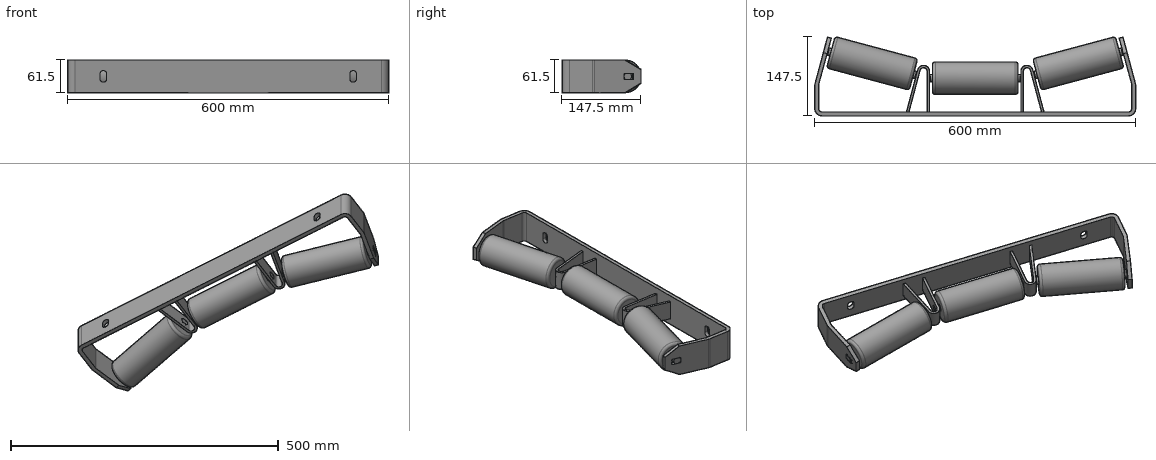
import cadquery as cq
import math

frame_length = 600.0
frame_height = 61.0
frame_depth = 147.5
strip_thickness = 8.0
frame_bend_radius = 14.0
arm_bend_y = 59.0
arm_angle = 15.0
tip_width = 26.5
tip_taper_angle = 30.0

mount_slot_x = 233.5
mount_slot_width = 12.5
mount_slot_height = 21.5

roller_diameter = 61.0
roller_length = 160.0
roller_fillet = 5.5
middle_roller_y = 71.0
middle_roller_drop = 0.5
outer_roller_x = 192.5
outer_roller_y = 98.5

shaft_diameter = 14.5
shoulder_clearance = 1.0
tongue_thickness = 11.5
arm_slot_length = 18.5
arm_slot_corner_radius = 2.0

bracket_thickness = 5.0
bracket_height = 36.0
bracket_face_x = 85.0
bracket_top_radius = 11.5
bracket_top_y = 95.0

tilt = math.radians(arm_angle)
sin_tilt = math.sin(tilt)
cos_tilt = math.cos(tilt)
half_length = frame_length / 2
half_height = frame_height / 2

arm_length = (frame_depth - arm_bend_y) / cos_tilt
tip_taper_length = (frame_height - tip_width) / 2 / math.tan(math.radians(tip_taper_angle))

bracket_arc_x = bracket_face_x + bracket_top_radius
bracket_arc_y = bracket_top_y - bracket_top_radius


def along_left_axis(x, y):
    """Distance of a point from the left roller's middle, measured along its axis."""
    return (x + outer_roller_x) * cos_tilt - (y - outer_roller_y) * sin_tilt


arm_far_face = -along_left_axis(-half_length, arm_bend_y)
arm_plate = (arm_far_face - strip_thickness, arm_far_face)
tilted_leg_face = along_left_axis(-bracket_arc_x, bracket_arc_y) - bracket_top_radius
tilted_leg_plate = (tilted_leg_face, tilted_leg_face + bracket_thickness)
straight_leg_plate = (bracket_face_x, bracket_face_x + bracket_thickness)


def mirrored(body):
    """Copy of a body on the other side of X = 0."""
    return body.mirror("YZ")


def place_left(body):
    """Move a body built along X at the origin onto the left roller's axis."""
    turned = body.rotate((0, 0, 0), (0, 0, 1), -arm_angle)
    return turned.translate((-outer_roller_x, outer_roller_y, 0))


def shaft_end(near_face, far_face):
    """Round journal next to the roller, then a flatted tongue through the plate."""
    roller_end = roller_length / 2
    shoulder = near_face - shoulder_clearance
    journal = (
        cq.Workplane("YZ", origin=(roller_end, 0, 0))
        .circle(shaft_diameter / 2).extrude(shoulder - roller_end)
    )
    tongue_length = far_face - shoulder
    tongue_round = (
        cq.Workplane("YZ", origin=(shoulder, 0, 0)).circle(shaft_diameter / 2).extrude(tongue_length)
    )
    flats = (
        cq.Workplane("YZ", origin=(shoulder, 0, 0))
        .rect(2 * shaft_diameter, tongue_thickness).extrude(tongue_length)
    )
    return journal.union(tongue_round.intersect(flats))


def make_roller(left_plate, right_plate):
    """Roller along X, its shaft ends reaching through the plates on both sides."""
    drum = (
        cq.Workplane("YZ", origin=(-roller_length / 2, 0, 0))
        .circle(roller_diameter / 2).extrude(roller_length)
        .edges().fillet(roller_fillet)
    )
    return drum.union(shaft_end(*right_plate)).union(mirrored(shaft_end(*left_plate)))


middle_roller = make_roller(straight_leg_plate, straight_leg_plate).translate(
    (0, middle_roller_y, -middle_roller_drop))
left_roller = place_left(make_roller(arm_plate, tilted_leg_plate))
outer_rollers = [left_roller, mirrored(left_roller)]


def frame_line(inset):
    """Corner points from the left arm tip to the right one, moved inwards by the inset."""
    wall_x = -half_length + inset
    bend_y = arm_bend_y + inset * math.tan(tilt / 2)
    tip_x = -half_length + arm_length * sin_tilt + inset * cos_tilt
    tip_y = frame_depth - inset * sin_tilt
    left = [(tip_x, tip_y), (wall_x, bend_y), (wall_x, inset)]
    right = [(-x, y) for x, y in reversed(left)]
    return left + right


def bent_strip():
    """Strip of constant thickness with rounded bends."""
    outer_line = frame_line(0)
    inner_line = frame_line(strip_thickness)
    strip = (
        cq.Workplane("XY").polyline(outer_line + inner_line[::-1]).close()
        .extrude(half_height, both=True)
    )
    inner_bend_radius = frame_bend_radius - strip_thickness
    for line, radius in ((outer_line, frame_bend_radius), (inner_line, inner_bend_radius)):
        for x, y in line[1:-1]:
            bend_edge = cq.selectors.NearestToPointSelector((x, y, 0))
            strip = strip.edges(bend_edge).fillet(radius)
    return strip


def mount_slots():
    """Upright round-ended slots through the long back wall."""
    return (
        cq.Workplane("XZ").pushPoints([(-mount_slot_x, 0), (mount_slot_x, 0)])
        .slot2D(mount_slot_height, mount_slot_width, 90).extrude(-strip_thickness)
    )


def tip_corner(side):
    """Wedge that tapers the left arm's tip on the upper (1) or lower (-1) side."""
    arm_face = cq.Plane(
        origin=(-half_length, arm_bend_y, 0),
        xDir=(sin_tilt, cos_tilt, 0),
        normal=(cos_tilt, -sin_tilt, 0),
    )
    return (
        cq.Workplane(arm_face)
        .moveTo(arm_length - tip_taper_length, side * half_height)
        .lineTo(arm_length, side * half_height)
        .lineTo(arm_length, side * tip_width / 2)
        .close().extrude(strip_thickness)
    )


def arm_slot():
    """Left arm's slot: its inner end meets the shaft tongue, its outer end leaves play."""
    play = arm_slot_length - shaft_diameter
    slot = (
        cq.Workplane("XY").box(strip_thickness, arm_slot_length, tongue_thickness)
        .edges("|X").fillet(arm_slot_corner_radius)
        .translate((strip_thickness / 2 - arm_far_face, play / 2, 0))
    )
    return place_left(slot)


frame = bent_strip().cut(mount_slots())
for cutter in (tip_corner(1), tip_corner(-1), arm_slot(), left_roller):
    frame = frame.cut(cutter).cut(mirrored(cutter))


def hairpin(radius):
    """Solid under a rounded top, with one upright side and one side tilted outwards."""
    tangent_x = -bracket_arc_x - radius * cos_tilt
    tangent_y = bracket_arc_y + radius * sin_tilt
    tilted_foot_x = tangent_x - (tangent_y - strip_thickness) * math.tan(tilt)
    upright_x = -bracket_arc_x + radius
    return (
        cq.Workplane("XY")
        .moveTo(tilted_foot_x, strip_thickness)
        .lineTo(tangent_x, tangent_y)
        .threePointArc((-bracket_arc_x, bracket_arc_y + radius), (upright_x, bracket_arc_y))
        .lineTo(upright_x, strip_thickness)
        .close().extrude(bracket_height / 2, both=True)
    )


def make_left_bracket():
    """Folded plate standing on the back wall, slotted for two shaft tongues."""
    folded = hairpin(bracket_top_radius).cut(hairpin(bracket_top_radius - bracket_thickness))
    return folded.cut(middle_roller).cut(left_roller)


left_bracket = make_left_bracket()
brackets = [left_bracket, mirrored(left_bracket)]

bodies = [frame, middle_roller, *outer_rollers, *brackets]
result = cq.Compound.makeCompound([body.solids().val() for body in bodies])